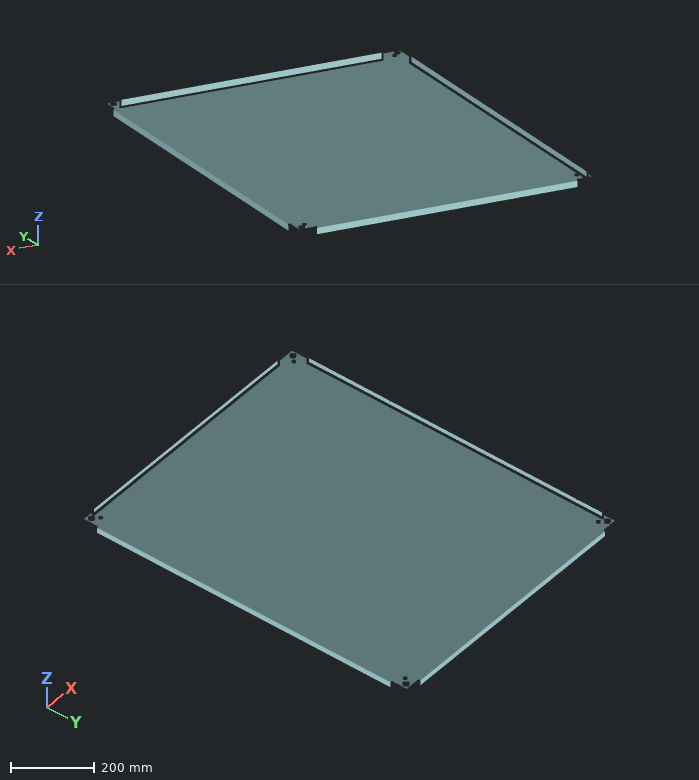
import cadquery as cq

length_x = 811.0
length_y = 1011.0
height = 22.0

thickness = 3.0
bend_outer_radius = 5.0
bend_inner_radius = bend_outer_radius - thickness

flange_end_setback = 51.0

mounting_hole_diameter = 13.0
mounting_hole_inset = 21.0
small_hole_diameter = 7.2
small_hole_inset = 36.0


def make_plate():
    """Flat top sheet, ending where the bends begin."""
    return (
        cq.Workplane("XY")
        .box(
            length_x - 2 * bend_outer_radius,
            length_y - 2 * bend_outer_radius,
            thickness,
            centered=(True, True, False),
        )
        .translate((0, 0, height - thickness))
    )


def make_flange(outer_face, flange_length):
    """Rounded bend and downward leg on the +X side, centred along Y."""
    inner_face = outer_face - thickness
    bend_start = outer_face - bend_outer_radius
    bend_centre_z = height - bend_outer_radius
    diagonal = 0.5 ** 0.5
    outer_mid = (
        bend_start + bend_outer_radius * diagonal,
        bend_centre_z + bend_outer_radius * diagonal,
    )
    inner_mid = (
        bend_start + bend_inner_radius * diagonal,
        bend_centre_z + bend_inner_radius * diagonal,
    )
    return (
        cq.Workplane("XZ")
        .moveTo(bend_start, height)
        .threePointArc(outer_mid, (outer_face, bend_centre_z))
        .lineTo(outer_face, 0)
        .lineTo(inner_face, 0)
        .lineTo(inner_face, bend_centre_z)
        .threePointArc(inner_mid, (bend_start, height - thickness))
        .close()
        .extrude(flange_length / 2, both=True)
    )


def make_corner_holes(diameter, inset):
    """Four cutters, one at each corner of the panel."""
    return (
        cq.Workplane("XY")
        .rect(length_x - 2 * inset, length_y - 2 * inset, forConstruction=True)
        .vertices()
        .circle(diameter / 2)
        .extrude(height)
    )


side_flange = make_flange(length_x / 2, length_y - 2 * flange_end_setback)
end_flange = make_flange(length_y / 2, length_x - 2 * flange_end_setback)

result = make_plate()
for flange, first_angle in ((side_flange, 0), (end_flange, 90)):
    for angle in (first_angle, first_angle + 180):
        result = result.union(flange.rotate((0, 0, 0), (0, 0, 1), angle))

result = result.cut(make_corner_holes(mounting_hole_diameter, mounting_hole_inset))
result = result.cut(make_corner_holes(small_hole_diameter, small_hole_inset))